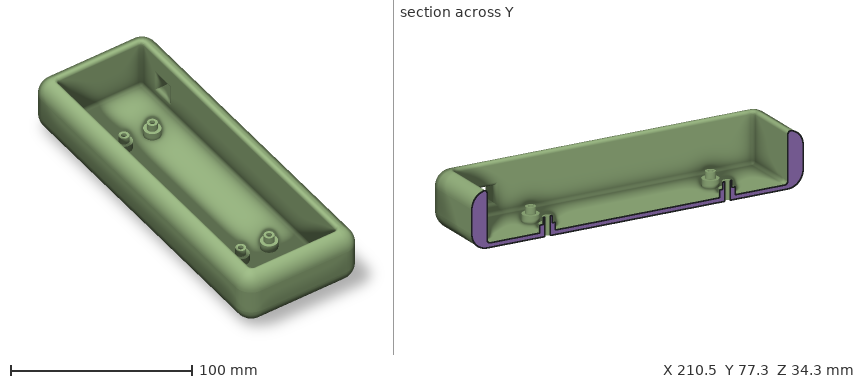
import cadquery as cq

length = 210.5
width = 77.3
height = 34.3
cavity_length = 190.5
cavity_width = 57.3
floor_thickness = 3.0
wall = (length - cavity_length) / 2
outer_radius = wall
inner_radius = 2.0

rim_trim = 0.086
block_height = height + rim_trim

post_spacing_x = 114.0
post_spacing_y = 19.0
base_diameter = 10.0
base_height = 4.6
pin_diameter = 6.0
pin_height = 4.2
bore_diameter = 3.2

window_width = 12.0
window_height = 10.0
window_center_x = -75.0
window_center_z = 14.5


def make_shell():
    block = cq.Workplane("XY").box(length, width, block_height, centered=(True, True, False))
    block = block.edges().fillet(outer_radius)
    cavity = (
        cq.Workplane("XY", origin=(0, 0, floor_thickness))
        .rect(cavity_length, cavity_width)
        .extrude(block_height)
        .edges("|Z or <Z")
        .fillet(inner_radius)
    )
    shell = block.cut(cavity)
    return shell.faces(">Z").edges().fillet(inner_radius)


def cut_window(shell):
    cutter = cq.Workplane("XY").box(window_width, 2 * wall, window_height)
    cutter = cutter.translate((window_center_x, width / 2, window_center_z))
    opened = shell.cut(cutter)

    mouth_y = cavity_width / 2
    mouth_edges = cq.selectors.BoxSelector(
        (window_center_x - window_width, mouth_y - inner_radius / 2, window_center_z - window_height),
        (window_center_x + window_width, mouth_y + inner_radius / 2, window_center_z + window_height),
    )
    return opened.edges(mouth_edges).fillet(inner_radius)


def add_posts(tray):
    post_centers = (
        cq.Workplane("XY", origin=(0, 0, floor_thickness))
        .rect(post_spacing_x, post_spacing_y, forConstruction=True)
        .vertices()
    )
    bases = post_centers.circle(base_diameter / 2).extrude(base_height)
    pins = post_centers.circle(pin_diameter / 2).extrude(base_height + pin_height)
    bores = post_centers.circle(bore_diameter / 2).extrude(2 * height, both=True)
    return tray.union(bases).union(pins).cut(bores)


result = add_posts(cut_window(make_shell()))